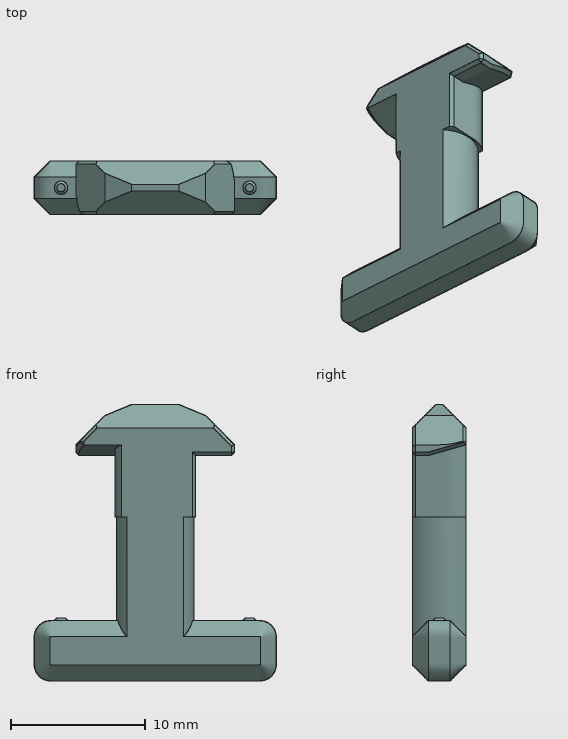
import cadquery as cq
import math

thickness = 4.0
half_thickness = thickness / 2
total_height = 20.55

bar_length = 18.0
bar_height = 4.5
bar_corner_radius = 1.25
bar_chamfer = 1.2

bump_offset = 7.0
bump_base_radius = 0.5
bump_height = 0.2
bump_top_radius = bump_base_radius - bump_height

round_shaft_radius = 2.9
shaft_step_z = 12.2
key_half_width = 3.0
key_arc_radius = 2.5
key_arc_start_y = 0.5

head_bottom_z = 16.75
head_half_length = 5.9
head_side_height = 0.8
head_slope_end_x = 3.75
head_ridge_half_length = 1.75
head_top_facet_angle = 22.5
ridge_half_width = 0.25
ramp_rise = 0.8
ramp_start_y = 0.8

key_overlap = 0.25
edge_chamfer = 0.25

match_tolerance = 0.01


def turned(shape):
    """Return the shape rotated half a turn about Z."""
    return shape.rotate((0, 0, 0), (0, 0, 1), 180)


def make_bar():
    return (
        cq.Workplane("XY")
        .box(bar_length, thickness, bar_height, centered=(True, True, False))
        .edges("|Y")
        .fillet(bar_corner_radius)
        .faces("<Y or >Y")
        .chamfer(bar_chamfer)
    )


def make_bump(x):
    cone = cq.Solid.makeCone(bump_base_radius, bump_top_radius, bump_height, cq.Vector(x, 0, bar_height))
    return cq.Workplane("XY").add(cone)


def make_round_shaft():
    """Rod trimmed to the part thickness, starting inside the bar."""
    slab_width = 2 * round_shaft_radius
    slab_bottom = bar_height / 2
    slab_height = shaft_step_z - slab_bottom
    slab = cq.Workplane("XY").box(slab_width, thickness, slab_height, centered=(True, True, False))
    rod = cq.Workplane("XY").circle(round_shaft_radius).extrude(slab_height)
    return rod.intersect(slab).translate((0, 0, slab_bottom))


def make_key_shaft():
    """Keyed shaft: two opposite corners are cut back by arcs tangent to the flat sides."""
    arc_center_x = key_half_width - key_arc_radius
    arc_center_y = key_arc_start_y
    rise = half_thickness - arc_center_y
    arc_end_x = arc_center_x + math.sqrt(key_arc_radius**2 - rise**2)
    half_angle = math.asin(rise / key_arc_radius) / 2
    mid_x = arc_center_x + key_arc_radius * math.cos(half_angle)
    mid_y = arc_center_y + key_arc_radius * math.sin(half_angle)
    key_top_z = head_bottom_z + ramp_rise + key_overlap
    return (
        cq.Workplane("XY", origin=(0, 0, shaft_step_z))
        .moveTo(key_half_width, -half_thickness)
        .lineTo(key_half_width, arc_center_y)
        .threePointArc((mid_x, mid_y), (arc_end_x, half_thickness))
        .lineTo(-key_half_width, half_thickness)
        .lineTo(-key_half_width, -arc_center_y)
        .threePointArc((-mid_x, -mid_y), (-arc_end_x, -half_thickness))
        .close()
        .extrude(key_top_z - shaft_step_z)
    )


def make_head_blank():
    """Faceted head: the long profile crossed with a 45-degree roof."""
    side_top_z = head_bottom_z + head_side_height
    facet_drop = (head_slope_end_x - head_ridge_half_length) * math.tan(math.radians(head_top_facet_angle))
    facet_z = total_height - facet_drop
    right_side = [
        (head_half_length, head_bottom_z),
        (head_half_length, side_top_z),
        (head_slope_end_x, facet_z),
        (head_ridge_half_length, total_height),
    ]
    left_side = [(-x, z) for x, z in reversed(right_side)]
    profile = (
        cq.Workplane("XZ")
        .polyline(right_side + left_side)
        .close()
        .extrude(half_thickness, both=True)
    )
    eave_z = total_height - (half_thickness - ridge_half_width)
    roof = (
        cq.Workplane("YZ")
        .polyline([
            (-half_thickness, head_bottom_z),
            (half_thickness, head_bottom_z),
            (half_thickness, eave_z),
            (ridge_half_width, total_height),
            (-ridge_half_width, total_height),
            (-half_thickness, eave_z),
        ])
        .close()
        .extrude(head_half_length, both=True)
    )
    return profile.intersect(roof)


def make_ramp_cut():
    """Wedge under the -X arm that makes its underside rise toward -Y."""
    return (
        cq.Workplane("YZ")
        .polyline([
            (ramp_start_y, head_bottom_z),
            (-half_thickness, head_bottom_z + ramp_rise),
            (-half_thickness, head_bottom_z),
        ])
        .close()
        .extrude(-head_half_length)
    )


def make_round_corner_cut():
    """Material outside the head's turning circle at the -X, -Y corner."""
    corner_height = total_height - head_bottom_z
    arc_end_x = math.sqrt(head_half_length**2 - half_thickness**2)
    half_angle = math.asin(half_thickness / head_half_length) / 2
    mid_point = (-head_half_length * math.cos(half_angle), -head_half_length * math.sin(half_angle))
    return (
        cq.Workplane("XY", origin=(0, 0, head_bottom_z))
        .moveTo(-head_half_length, 0)
        .threePointArc(mid_point, (-arc_end_x, -half_thickness))
        .lineTo(-head_half_length, -half_thickness)
        .close()
        .extrude(corner_height)
    )


def underside_z(y):
    """Height of the underside of the +X arm at the given Y."""
    ramp_run = half_thickness + ramp_start_y
    return head_bottom_z + ramp_rise * max(0.0, y + ramp_start_y) / ramp_run


def is_chamfered(edge):
    """True for the edges of the head and keyed shaft that are broken by the small chamfer."""
    middle = edge.positionAt(0.5)
    side = math.copysign(1, middle.x)
    x = abs(middle.x)
    y = side * middle.y
    near_end = x > (head_slope_end_x + head_half_length) / 2
    on_square_side = abs(y + half_thickness) < match_tolerance and x > key_half_width / 2
    on_rounded_side = abs(y - half_thickness) < match_tolerance and near_end
    on_bottom_rim = abs(middle.z - underside_z(y)) < match_tolerance and near_end
    return on_square_side or on_rounded_side or on_bottom_rim


def make_head_and_key():
    body = make_head_blank()
    for cutter in (make_ramp_cut(), make_round_corner_cut()):
        body = body.cut(cutter).cut(turned(cutter))
    body = body.union(make_key_shaft())
    chamfered_edges = [edge for edge in body.edges().vals() if is_chamfered(edge)]
    return body.newObject(chamfered_edges).chamfer(edge_chamfer)


result = make_bar().union(make_round_shaft()).union(make_head_and_key())
for bump_x in (-bump_offset, bump_offset):
    result = result.union(make_bump(bump_x))